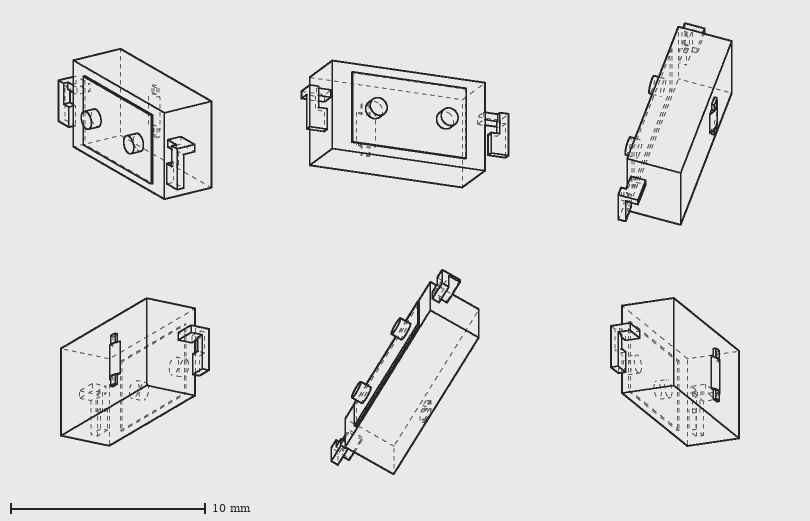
import cadquery as cq
import math


OVERALL_LENGTH = 11.2
HOUSING_LENGTH = 8.6
HOUSING_DEPTH = 2.9
HOUSING_HEIGHT = 4.8

PAD_LENGTH = 6.4
PAD_HEIGHT = 3.81
PAD_THICKNESS = 0.1
PIN_DIAMETER = 0.95
PIN_SPACING = 4.0
PIN_REACH = 0.7

TERMINAL_TOP = 0.86
TERMINAL_BOTTOM = -1.41
TERMINAL_BACK = 1.01
TERMINAL_FRONT = -0.07
TERMINAL_THICKNESS = 0.4
BAR_SETBACK = 0.2
LEG_WIDTH = 0.49
FOOT_WIDTH = 0.99
FOOT_HEIGHT = 1.12

ACTUATOR_X = -1.13
RIDGE_WIDTH = 1.05
RIDGE_RISE = 0.2
RIDGE_LENGTH = 1.75
CORE_WIDTH = 0.47
CORE_LENGTH = 2.75
CORE_STEP = 0.03


def box_between(x_range, y_range, z_range):
    """Box spanning the given (low, high) ranges."""
    size = [high - low for low, high in (x_range, y_range, z_range)]
    corner = (x_range[0], y_range[0], z_range[0])
    return cq.Workplane("XY").box(*size, centered=False).translate(corner)


def make_right_terminal():
    """Terminal at the +X end: a top bar, a leg down its outer end and a foot turned inward."""
    inner_x = HOUSING_LENGTH / 2
    outer_x = OVERALL_LENGTH / 2
    leg_x = (outer_x - LEG_WIDTH, outer_x)
    leg_y = (TERMINAL_FRONT, TERMINAL_FRONT + TERMINAL_THICKNESS)
    bar_z = (TERMINAL_TOP - TERMINAL_THICKNESS, TERMINAL_TOP)

    bar = box_between((inner_x, outer_x), (BAR_SETBACK, TERMINAL_BACK), bar_z)
    leg = box_between(leg_x, leg_y, (TERMINAL_BOTTOM, TERMINAL_TOP))
    foot = box_between(
        (outer_x - FOOT_WIDTH, outer_x), leg_y, (TERMINAL_BOTTOM, TERMINAL_BOTTOM + FOOT_HEIGHT)
    )
    return bar.union(leg).union(foot)


def make_housing():
    """Block with its pad, pins and terminals."""
    block = cq.Workplane("XY").box(HOUSING_LENGTH, HOUSING_DEPTH, HOUSING_HEIGHT)
    housing = block.translate((0, HOUSING_DEPTH / 2, 0))

    mounting_face = cq.Workplane("XZ")
    pad = mounting_face.rect(PAD_LENGTH, PAD_HEIGHT).extrude(PAD_THICKNESS)
    pin_points = [(-PIN_SPACING / 2, 0), (PIN_SPACING / 2, 0)]
    pins = mounting_face.pushPoints(pin_points).circle(PIN_DIAMETER / 2).extrude(PIN_REACH)
    housing = housing.union(pad).union(pins)

    right_terminal = make_right_terminal()
    return housing.union(right_terminal).union(right_terminal.mirror("YZ"))


def make_actuator():
    """Rounded ridge and core, both arched about one axis inside the housing."""
    ridge_radius = ((RIDGE_WIDTH / 2) ** 2 + RIDGE_RISE**2) / (2 * RIDGE_RISE)
    core_radius = ridge_radius - CORE_STEP
    core_rise = RIDGE_RISE - CORE_STEP
    core_edge_drop = core_radius - math.sqrt(core_radius**2 - (CORE_WIDTH / 2) ** 2)
    core_side = core_rise - core_edge_drop

    back_face = cq.Workplane("XY", origin=(ACTUATOR_X, HOUSING_DEPTH, 0))
    ridge = (
        back_face.moveTo(-RIDGE_WIDTH / 2, 0)
        .threePointArc((0, RIDGE_RISE), (RIDGE_WIDTH / 2, 0))
        .close()
        .extrude(RIDGE_LENGTH / 2, both=True)
    )
    core = (
        back_face.moveTo(-CORE_WIDTH / 2, 0)
        .lineTo(-CORE_WIDTH / 2, core_side)
        .threePointArc((0, core_rise), (CORE_WIDTH / 2, core_side))
        .lineTo(CORE_WIDTH / 2, 0)
        .close()
        .extrude(CORE_LENGTH / 2, both=True)
    )
    return ridge.union(core)


housing = make_housing()
actuator = make_actuator()

result = cq.Compound.makeCompound([housing.val(), actuator.val()])